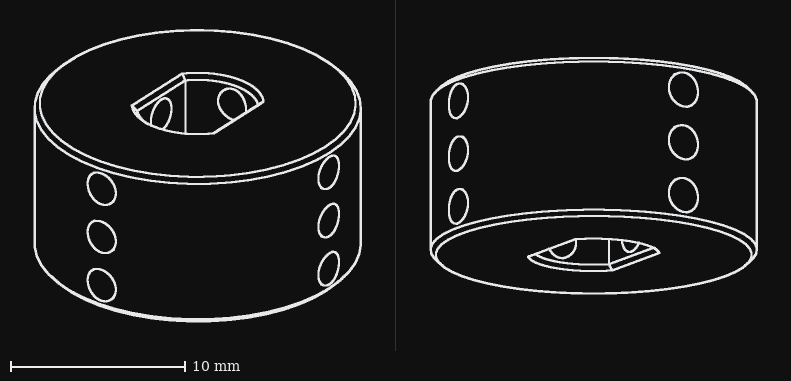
import cadquery as cq

outer_diameter = 18.75
height = outer_diameter / 2
rim_chamfer = 0.3

bore_diameter = 7.0
bore_flat_width = 5.2

radial_hole_diameter = 2.0
holes_per_row = 3
hole_spacing = height / holes_per_row


def make_bore():
    """Double-D prism that runs the full height of the collar."""
    round_bore = cq.Workplane("XY").circle(bore_diameter / 2).extrude(height)
    flats = cq.Workplane("XY").rect(bore_flat_width, bore_diameter).extrude(height)
    return round_bore.intersect(flats)


def make_collar():
    """Bored collar with every edge of its top and bottom faces chamfered."""
    body = cq.Workplane("XY").circle(outer_diameter / 2).extrude(height)
    return body.cut(make_bore()).faces("<Z or >Z").edges().chamfer(rim_chamfer)


def make_radial_holes(plane_name):
    """Row of through holes, drilled along the normal of the named plane."""
    hole_centres = [(0, (row + 0.5) * hole_spacing) for row in range(holes_per_row)]
    row_of_holes = cq.Workplane(plane_name).pushPoints(hole_centres)
    return row_of_holes.circle(radial_hole_diameter / 2).extrude(outer_diameter / 2, both=True)


result = make_collar()
for drilling_plane in ("XZ", "YZ"):
    result = result.cut(make_radial_holes(drilling_plane))